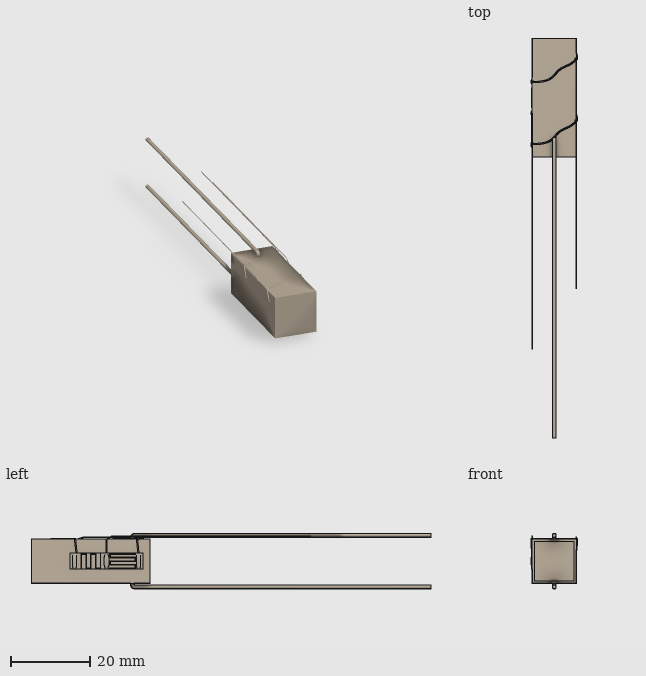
import cadquery as cq


total_length = 100.9
stack_width = 11.2
stack_length = 30.0
sleeve_wall = 0.6
core_width = stack_width - 2 * sleeve_wall
half_width = stack_width / 2

total_height = 14.0
rod_radius = 0.5
rod_bend_radius = 0.6
rod_back = 4.9
rod_root = 0.3
rod_axis_z = total_height / 2 - rod_radius
rod_stub_y = rod_back - rod_radius
rod_front = stack_length - total_length

gauge_y = 11.0
film_length = 18.4
film_height = 4.0
film_thickness = 0.05

pad_pitch = 8.1
end_pad_width = 0.9
middle_pad_width = 1.2
pad_edge_lift = 0.05
pad_bow = 0.2
pad_curve_radius = 1.0

upright_width = 0.1
level_width = 0.2
trace_height = 0.1
trace_count = 5
upright_pitch = 1.2
upright_offset = 1.5
upright_half_span = 1.7
level_pitch = 0.9
level_start = 0.9
level_end = 7.3

bridge_width = 0.3
bridge_thickness = 0.1
tail_thickness = 0.3
tail_foot_thickness = 0.15
bridge_count = 2
bridge_pitch = 15.6
rear_bridge_y = 19.0
bridge_curve = [(-3.0, 0.1), (-0.8, 0.9), (1.4, 3.1), (3.6, 4.2)]
bridge_advance = 5.9
far_tail_drop = 2.7
near_tail_shift = 0.4
far_tail_shift = 1.2

signal_width = 0.15
signal_length = 51.5
signal_rise_length = 1.5
signal_leads = [
    (1, 18.3, 0.5),
    (-1, gauge_y, 0.8),
    (-1, 3.0, 0.5),
]


def stack_block(width):
    return cq.Workplane("XY").box(width, stack_length, width).translate((0, stack_length / 2, 0))


def power_lead():
    """The upper lead: a stub on the sleeve, a quarter bend, then a long straight rod."""
    bend_y = rod_stub_y - rod_bend_radius
    bend_start_z = rod_axis_z - rod_bend_radius
    path = (
        cq.Workplane("YZ")
        .moveTo(rod_stub_y, half_width - rod_root)
        .lineTo(rod_stub_y, bend_start_z)
        .tangentArcPoint((bend_y, rod_axis_z), relative=False)
        .lineTo(rod_front, rod_axis_z)
    )
    start = cq.Workplane("XY", origin=(0, rod_stub_y, half_width - rod_root))
    return start.circle(rod_radius).sweep(path)


def side_plate(y, z, length, height, thickness):
    """A flat plate on the -X side of the sleeve, rooted in its wall."""
    depth = thickness + sleeve_wall / 2
    centre_x = -half_width - thickness + depth / 2
    return cq.Workplane("XY").box(depth, length, height).translate((centre_x, y, z))


def pad(y, width):
    """A gauge pad, barrel shaped along Z and trimmed to a narrow upright strip."""
    half_height = film_height / 2
    edge_radius = pad_curve_radius + pad_edge_lift
    barrel = (
        cq.Workplane("XZ")
        .moveTo(0, -half_height)
        .lineTo(edge_radius, -half_height)
        .threePointArc((edge_radius + pad_bow, 0), (edge_radius, half_height))
        .lineTo(0, half_height)
        .close()
        .revolve(360, (0, 0, 0), (0, 1, 0))
        .translate((pad_curve_radius - half_width, y, 0))
    )
    return barrel.intersect(side_plate(y, 0, width, film_height, edge_radius))


def trace(start, end, width):
    """One straight trace between two (Y, Z) points, squared off past both ends."""
    (y1, z1), (y2, z2) = start, end
    return side_plate(
        (y1 + y2) / 2,
        (z1 + z2) / 2,
        abs(y1 - y2) + width,
        abs(z1 - z2) + width,
        film_thickness + trace_height,
    )


def meander(turns, width):
    """Traces joined end to end through the (Y, Z) turning points."""
    grid = trace(turns[0], turns[1], width)
    for start, end in zip(turns[1:], turns[2:]):
        grid = grid.union(trace(start, end, width))
    return grid


def upright_turns():
    turns = []
    for i in range(trace_count):
        y = gauge_y + upright_offset + (trace_count - 1 - i) * upright_pitch
        rising = 1 if i % 2 == 0 else -1
        turns += [(y, -rising * upright_half_span), (y, rising * upright_half_span)]
    return turns


def level_turns():
    turns = []
    for i in range(trace_count):
        z = ((trace_count - 1) / 2 - i) * level_pitch
        ends = [(gauge_y - level_end, z), (gauge_y - level_start, z)]
        turns += ends if i % 2 == 0 else ends[::-1]
    return turns


def strain_gauge():
    gauge = side_plate(gauge_y, 0, film_length, film_height, film_thickness)
    for offset, width in ((-pad_pitch, end_pad_width), (0, middle_pad_width), (pad_pitch, end_pad_width)):
        gauge = gauge.union(pad(gauge_y + offset, width))
    return gauge.union(meander(upright_turns(), upright_width)).union(meander(level_turns(), level_width))


def bridge_tail(side, top_y, foot_y, foot_z):
    """A strip down one side of the sleeve, thinning toward its foot."""

    def section(y, z, thickness):
        depth = thickness + sleeve_wall / 2
        centre_x = side * (half_width + thickness - depth / 2)
        return cq.Wire.makePolygon(
            [
                cq.Vector(centre_x + dx * depth / 2, y + dy * bridge_width / 2, z)
                for dx, dy in ((-1, -1), (1, -1), (1, 1), (-1, 1))
            ],
            close=True,
        )

    top = section(top_y, half_width + bridge_thickness, tail_thickness)
    foot = section(foot_y, foot_z, tail_foot_thickness)
    return cq.Workplane(obj=cq.Solid.makeLoft([foot, top], True))


def bridge_wire(y):
    """A strip from the gauge up the -X side, across the top in an S curve and down the +X side."""
    far_y = y + bridge_advance
    crossing = [(-half_width, y)] + [(x, y + dy) for x, dy in bridge_curve] + [(half_width, far_y)]
    depth = bridge_thickness + sleeve_wall / 2
    path = cq.Workplane("XY", origin=(0, 0, half_width + bridge_thickness - depth / 2)).spline(crossing)
    start = cq.Plane(path.val().startPoint(), xDir=(0, 0, 1), normal=path.val().tangentAt(0))
    strip = cq.Workplane(start).rect(depth, bridge_width).sweep(path)
    near_tail = bridge_tail(-1, y, y - near_tail_shift, film_height / 2)
    far_tail = bridge_tail(1, far_y, far_y + far_tail_shift, half_width - far_tail_drop)
    return strip.union(near_tail).union(far_tail)


def signal_lead(side, start_y, height):
    """A thin wire that leaves a top edge of the sleeve, rises to a height and runs toward -Y."""
    level_y = start_y - signal_rise_length
    end_y = start_y - signal_length
    root_z = half_width - signal_width
    top_z = half_width + height
    return (
        cq.Workplane("YZ", origin=(side * half_width, 0, 0))
        .polyline(
            [
                (start_y, root_z),
                (start_y, root_z + signal_width),
                (level_y, top_z),
                (end_y, top_z),
                (end_y, top_z - signal_width),
                (level_y, top_z - signal_width),
            ]
        )
        .close()
        .extrude(signal_width / 2, both=True)
    )


def middle_tail():
    """The wire from the middle pad up to the top edge of the sleeve."""
    length = half_width - film_height / 2
    return side_plate(gauge_y, half_width - length / 2, signal_width, length, signal_width / 2)


def sleeve():
    body = stack_block(stack_width)
    lead = power_lead()
    body = body.union(lead).union(lead.mirror("XY"))
    body = body.union(strain_gauge()).union(middle_tail())
    for i in range(bridge_count):
        body = body.union(bridge_wire(rear_bridge_y - i * bridge_pitch))
    for side, start_y, height in signal_leads:
        body = body.union(signal_lead(side, start_y, height))
    return body.cut(stack_block(core_width))


core = stack_block(core_width)
result = cq.Compound.makeCompound([sleeve().val(), core.val()])